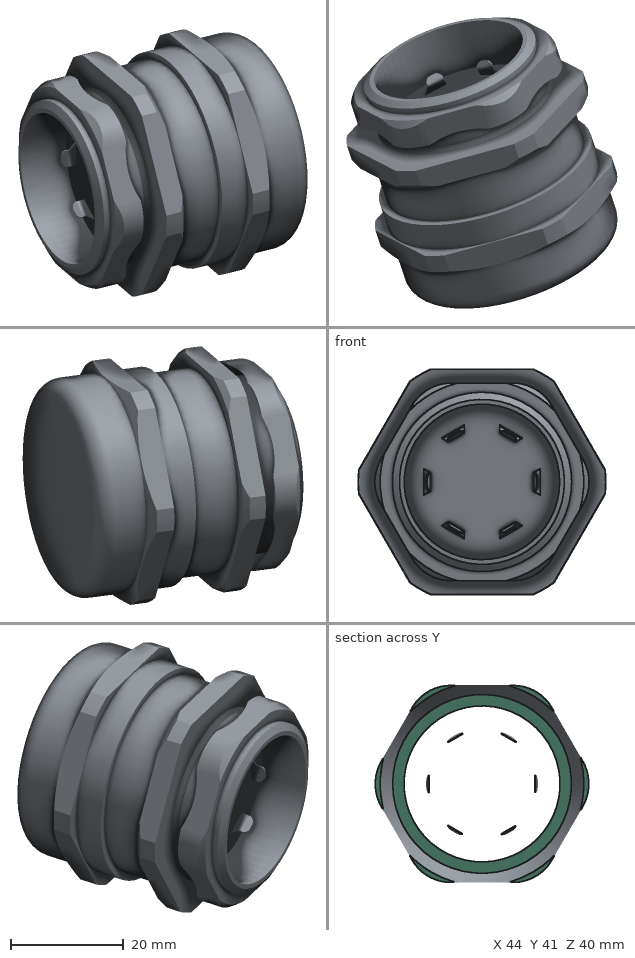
import cadquery as cq
import math

total_length = 41.0

thread_diameter = 31.85
thread_back = 8.9
entry_diameter = 29.3
entry_chamfer_length = 0.75
bore_diameter = 27.6
bore_depth = 9.15

undercut_diameter = 30.95
undercut_front = 9.15
undercut_back_diameter = 32.3
undercut_sag = 0.1

nut_across_flats = 35.1
nut_corner_radius = 8.05
nut_front = 1.95
nut_back = 7.05
nut_chamfer_diameter = 36.15
nut_cone_slope = 1.25

hex_across_flats = 40.0
hex_corner_diameter = 44.0
body_hex_front = 10.05
body_hex_back = 14.07
body_hex_chamfer = 1.0
body_diameter = 36.85
cap_diameter = 39.5
cap_front = 22.5
cap_edge_radius = 3.0
cap_hex_front = 27.55
cap_hex_back = 32.15
cap_hex_chamfer_angle = 30.0

finger_count = 6
finger_outer_radius = 10.35
finger_inner_radius = 9.1
finger_thickness = 0.2
finger_height = 3.12
finger_root_width = 4.65
finger_side_angle = 30.0
finger_lean_angle = 30.0
finger_knee_radius = 0.65
finger_end_width = 3.5
finger_corner_radius = 1.25


def cylinder(diameter, front, back):
    """Cylinder on the Y axis between two Y positions."""
    face = cq.Workplane("XZ", origin=(0, front, 0)).circle(diameter / 2)
    return face.extrude(front - back)


def revolve_about_axis(points):
    """Solid of revolution about Y from (radius, y) points."""
    return cq.Workplane("XY").polyline(points).close().revolve(360, (0, 0, 0), (0, 1, 0))


def hexagon(across_flats, front, back):
    """Hexagonal prism on the Y axis with flats facing +Z and -Z."""
    face = cq.Workplane("XZ", origin=(0, front, 0)).polygon(6, across_flats / math.cos(math.pi / 6))
    return face.extrude(front - back)


def hexagon_chamfered_at_back(front, back, chamfer_width, chamfer_length):
    """Hexagon with rounded corners and a conical chamfer on its +Y side."""
    corner_radius = hex_corner_diameter / 2
    envelope = revolve_about_axis([
        (0, front),
        (corner_radius, front),
        (corner_radius, back - chamfer_length),
        (corner_radius - chamfer_width, back),
        (0, back),
    ])
    return hexagon(hex_across_flats, front, back).intersect(envelope)


def make_cap():
    cap = cylinder(cap_diameter, cap_front, total_length)
    cap = cap.faces(">Y").edges().fillet(cap_edge_radius)
    chamfer_width = (hex_corner_diameter - cap_diameter) / 2
    chamfer_length = chamfer_width * math.tan(math.radians(cap_hex_chamfer_angle))
    return cap.union(hexagon_chamfered_at_back(cap_hex_front, cap_hex_back, chamfer_width, chamfer_length))


def make_body():
    barrel = cylinder(body_diameter, body_hex_front, cap_front)
    collar = hexagon_chamfered_at_back(body_hex_front, body_hex_back, body_hex_chamfer, body_hex_chamfer)
    return barrel.union(collar)


def make_thread():
    """Chamfered thread, running through a shallow curved undercut up to the body hexagon."""
    thread_radius = thread_diameter / 2
    undercut_start = (undercut_diameter / 2, undercut_front)
    undercut_end = (undercut_back_diameter / 2, body_hex_front)
    profile = cq.Workplane("XY").polyline([
        (0, 0),
        (entry_diameter / 2, 0),
        (thread_radius, entry_chamfer_length),
        (thread_radius, thread_back),
        undercut_start,
    ])
    profile = profile.sagittaArc(undercut_end, undercut_sag).lineTo(0, body_hex_front).close()
    return profile.revolve(360, (0, 0, 0), (0, 1, 0))


def make_nut():
    """Locknut with rounded corners, chamfered in front and dished by a cone behind."""
    chamfer_radius = nut_chamfer_diameter / 2
    half_flats = nut_across_flats / 2
    half_flat_width = (half_flats - nut_corner_radius) * math.tan(math.pi / 6)
    dish_radius = math.hypot(half_flats, half_flat_width)
    thread_radius = thread_diameter / 2
    dish_bottom = nut_back - nut_cone_slope * (dish_radius - thread_radius)
    outside_radius = half_flats / math.cos(math.pi / 6)
    envelope = revolve_about_axis([
        (0, nut_front),
        (chamfer_radius, nut_front),
        (outside_radius, nut_front + nut_cone_slope * (outside_radius - chamfer_radius)),
        (outside_radius, nut_back),
        (dish_radius, nut_back),
        (thread_radius, dish_bottom),
        (0, dish_bottom),
    ])
    blank = hexagon(nut_across_flats, nut_front, nut_back).edges("|Y").fillet(nut_corner_radius)
    return blank.intersect(envelope)


def make_finger():
    """Finger on the +X side: a rounded tongue kinked inward, narrowing toward the axis."""
    lean = math.tan(math.radians(finger_lean_angle))
    root_inner_radius = finger_outer_radius - finger_thickness
    knee_bulge = finger_knee_radius * (1 / math.cos(math.radians(finger_lean_angle)) - 1)
    knee_radius = finger_inner_radius - knee_bulge
    knee_height = (root_inner_radius - knee_radius) / lean
    tip_radius = knee_radius + lean * (finger_height - knee_height)

    profile = cq.Workplane("XY").polyline([
        (finger_outer_radius, bore_depth),
        (root_inner_radius, bore_depth),
        (knee_radius, bore_depth - knee_height),
        (tip_radius, bore_depth - finger_height),
        (tip_radius + finger_thickness, bore_depth - finger_height),
        (knee_radius + finger_thickness, bore_depth - knee_height),
    ]).close()
    tongue = profile.extrude(finger_root_width / 2, both=True)
    tongue = tongue.edges("|Z").edges("<X").fillet(finger_knee_radius)

    depth = finger_outer_radius - finger_inner_radius
    half_root = finger_root_width / 2
    half_knee = half_root - depth * math.tan(math.radians(finger_side_angle))
    plan = cq.Workplane("XZ", origin=(0, bore_depth, 0)).polyline([
        (finger_outer_radius, -half_root),
        (finger_inner_radius, -half_knee),
        (finger_inner_radius, half_knee),
        (finger_outer_radius, half_root),
    ]).close().extrude(finger_height)

    tip = bore_depth - finger_height
    half_end = finger_end_width / 2
    half_tip = half_end - finger_corner_radius
    shoulder = tip + finger_corner_radius
    outline = cq.Workplane("YZ").moveTo(bore_depth, -half_root).lineTo(shoulder, -half_end)
    outline = outline.radiusArc((tip, -half_tip), finger_corner_radius).lineTo(tip, half_tip)
    outline = outline.radiusArc((shoulder, half_end), finger_corner_radius).lineTo(bore_depth, half_root)
    outline = outline.close().extrude(finger_outer_radius)
    return tongue.intersect(plan).intersect(outline)


result = make_cap().union(make_body()).union(make_thread()).union(make_nut())
result = result.cut(cylinder(bore_diameter, 0, bore_depth))
finger = make_finger()
for index in range(finger_count):
    result = result.union(finger.rotate((0, 0, 0), (0, 1, 0), index * 360 / finger_count))